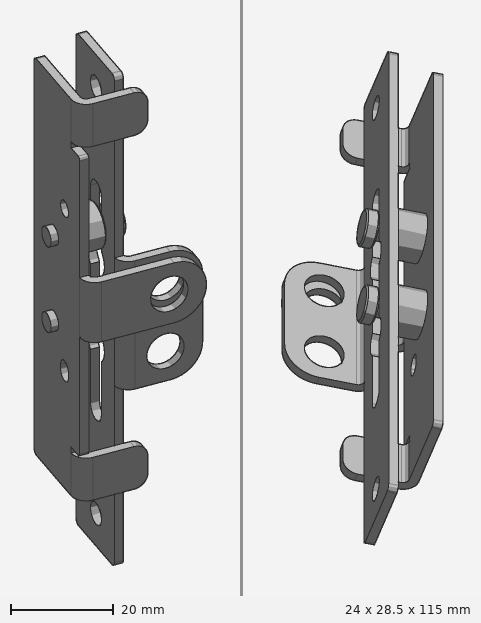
import cadquery as cq
import math

SHEET = 2.0
BEND_INNER = 1.3
BEND_OUTER = BEND_INNER + SHEET
PLATE_CORNER = 1.2
PLATE_GAP = 7.1
GUIDE_X = 20.1

EYE_RADIUS = 7.0
EYE_DIA = 8.0
EYE_INSET = 8.0
EYE_PITCH = 16.0
LUG_Y = 26.9
TAB_X = 24.0
TAB_Y = 25.9

BACK_LENGTH = 115.0
BACK_WIDTH = 17.5
BACK_Y = SHEET + PLATE_GAP
BACK_MID_Z = BACK_LENGTH / 2
MOUNT_DIA = 5.0
MOUNT_INSET = 7.6

PIN_X = 9.1
PIN_PITCH = 20.0
PIN_TRAVEL = 7.9
PIN_DIA = 4.3
PIN_PROTRUSION = 1.6
SHOULDER_DIA = 10.0
HEAD_DIA = 7.6
HEAD_HEIGHT = 2.6
HEAD_CLEARANCE = 0.2
PIN_CHAMFER = 0.3

TRACK_WIDTH = 4.8
TRACK_STRAIGHT = 51.1
ENTRY_DIA = HEAD_DIA

MID_Z = BACK_MID_Z + PIN_TRAVEL
FRONT_LENGTH = 92.8
WIDE_LENGTH = 70.0
FRONT_WIDTH = TAB_X - BEND_OUTER
NARROW_WIDTH = GUIDE_X - BEND_OUTER
WIDE_CORNER = 0.7
GUIDE_LENGTH = 10.0
GUIDE_Y = 15.1
GUIDE_CORNER = 3.0
SMALL_HOLE_X = 13.9
SMALL_HOLE_DIA = 3.6
SMALL_HOLE_OFFSET = 19.0
SLOT_LENGTH = 4.6

PIN_ZS = [MID_Z - PIN_PITCH / 2, MID_Z + PIN_PITCH / 2]


def block(x0, x1, y0, y1, z0, z1):
    """Box between the given limits on each axis."""
    box = cq.Workplane("XY").box(x1 - x0, y1 - y0, z1 - z0, centered=False)
    return box.translate((x0, y0, z0))


def bent_flange(outer_x, front_y, free_y, z0, z1):
    """L-shaped strip: flat from the pin line, then bent to +Y with its outer face at outer_x."""
    bend_x = outer_x - BEND_OUTER
    bend_y = front_y + BEND_OUTER
    inner_x = outer_x - SHEET
    outer_diagonal = BEND_OUTER * math.sqrt(0.5)
    inner_diagonal = BEND_INNER * math.sqrt(0.5)
    return (
        cq.Workplane("XY", origin=(0, 0, z0))
        .moveTo(PIN_X, front_y)
        .lineTo(bend_x, front_y)
        .threePointArc((bend_x + outer_diagonal, bend_y - outer_diagonal), (outer_x, bend_y))
        .lineTo(outer_x, free_y)
        .lineTo(inner_x, free_y)
        .lineTo(inner_x, bend_y)
        .threePointArc((bend_x + inner_diagonal, bend_y - inner_diagonal), (bend_x, front_y + SHEET))
        .lineTo(PIN_X, front_y + SHEET)
        .close()
        .extrude(z1 - z0)
    )


def round_free_corners(flange, radius):
    return flange.faces(">Y").edges("|X").fillet(radius)


def cylinder_along_y(x, y0, z, length, diameter):
    return cq.Workplane("XZ", origin=(x, y0, z)).circle(diameter / 2).extrude(-length)


def hole_through_plate(x, y0, z, diameter):
    """Cutter for a round hole in the plate whose front face is at y0."""
    return cylinder_along_y(x, y0, z, SHEET, diameter)


def slot_through_plate(x, y0, z, length, width):
    """Cutter for an upright slot in the plate whose front face is at y0."""
    return cq.Workplane("XZ", origin=(x, y0, z)).slot2D(length, width, 90).extrude(-SHEET)


def eye_hole(outer_x, free_y, z):
    """Cutter for an eye in the flange with the given outer face and free edge."""
    centre = (outer_x - SHEET, free_y - EYE_INSET, z)
    return cq.Workplane("YZ", origin=centre).circle(EYE_DIA / 2).extrude(SHEET)


def make_lug():
    """Flange with two eyes; its corners are level with the eye centres."""
    low_eye_z = MID_Z - EYE_PITCH
    lug = bent_flange(GUIDE_X, BACK_Y, LUG_Y, low_eye_z - EYE_RADIUS, MID_Z + EYE_RADIUS)
    lug = round_free_corners(lug, EYE_RADIUS)
    for z in (low_eye_z, MID_Z):
        lug = lug.cut(eye_hole(GUIDE_X, LUG_Y, z))
    return lug


def make_back_plate():
    plate = block(0, BACK_WIDTH, BACK_Y, BACK_Y + SHEET, 0, BACK_LENGTH)
    plate = plate.edges("|Y").fillet(PLATE_CORNER)
    plate = plate.union(make_lug())

    for z in (MOUNT_INSET, BACK_LENGTH - MOUNT_INSET):
        plate = plate.cut(hole_through_plate(PIN_X, BACK_Y, z, MOUNT_DIA))

    track_length = TRACK_STRAIGHT + TRACK_WIDTH
    plate = plate.cut(slot_through_plate(PIN_X, BACK_Y, BACK_MID_Z, track_length, TRACK_WIDTH))
    for z in PIN_ZS:
        plate = plate.cut(hole_through_plate(PIN_X, BACK_Y, z - PIN_TRAVEL, ENTRY_DIA))
    return plate


def make_eye_tab():
    """Flange with a full round end and one eye."""
    round_y = TAB_Y - EYE_RADIUS
    tab = bent_flange(TAB_X, 0, round_y, MID_Z - EYE_RADIUS, MID_Z + EYE_RADIUS)
    round_end = cq.Workplane("YZ", origin=(TAB_X - SHEET, round_y, MID_Z)).circle(EYE_RADIUS).extrude(SHEET)
    return tab.union(round_end).cut(eye_hole(TAB_X, TAB_Y, MID_Z))


def make_front_plate():
    bottom = MID_Z - FRONT_LENGTH / 2
    top = MID_Z + FRONT_LENGTH / 2
    plate = block(0, NARROW_WIDTH, 0, SHEET, bottom, top)
    plate = plate.edges("|Y and <X").fillet(PLATE_CORNER)
    wide = block(PIN_X, FRONT_WIDTH, 0, SHEET, MID_Z - WIDE_LENGTH / 2, MID_Z + WIDE_LENGTH / 2)
    plate = plate.union(wide.edges("|Y and >X").fillet(WIDE_CORNER))
    plate = plate.union(make_eye_tab())

    for z0 in (bottom, top - GUIDE_LENGTH):
        guide = bent_flange(GUIDE_X, 0, GUIDE_Y, z0, z0 + GUIDE_LENGTH)
        plate = plate.union(round_free_corners(guide, GUIDE_CORNER))

    hole_z = MID_Z + SMALL_HOLE_OFFSET
    slot_z = MID_Z - SMALL_HOLE_OFFSET
    plate = plate.cut(hole_through_plate(SMALL_HOLE_X, 0, hole_z, SMALL_HOLE_DIA))
    plate = plate.cut(slot_through_plate(SMALL_HOLE_X, 0, slot_z, SLOT_LENGTH, SMALL_HOLE_DIA))

    for z in PIN_ZS:
        plate = plate.cut(hole_through_plate(PIN_X, 0, z, PIN_DIA))
    return plate


def make_pin(z):
    """Stem through both plates, shoulder between them and head behind the back plate."""
    head_y = BACK_Y + SHEET + HEAD_CLEARANCE
    stem = cylinder_along_y(PIN_X, -PIN_PROTRUSION, z, PIN_PROTRUSION + head_y, PIN_DIA)
    shoulder = cylinder_along_y(PIN_X, SHEET, z, PLATE_GAP, SHOULDER_DIA)
    shoulder = shoulder.faces(">Y").chamfer(PIN_CHAMFER)
    head = cylinder_along_y(PIN_X, head_y, z, HEAD_HEIGHT, HEAD_DIA)
    head = head.faces("<Y or >Y").chamfer(PIN_CHAMFER)
    return stem.union(shoulder).union(head)


back_plate = make_back_plate()
front_plate = make_front_plate()
pins = [make_pin(z) for z in PIN_ZS]

result = cq.Compound.makeCompound([back_plate.val(), front_plate.val(), *[pin.val() for pin in pins]])